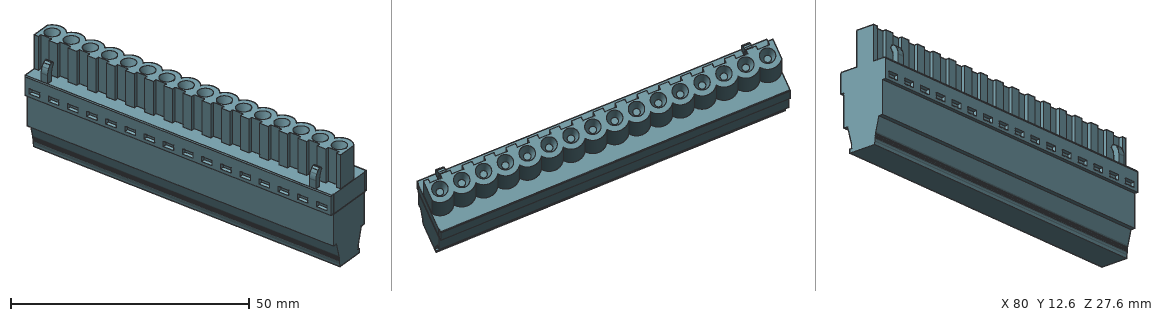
import cadquery as cq

total_length = 80.0
total_height = 27.6
pole_count = 16
end_lip = 0.13
body_length = total_length - end_lip
pitch = body_length / pole_count
x_start = -total_length / 2

body_half_width = 5.4
shoulder_z = 6.2
taper_half_width = 4.4
neck_half_width = 3.3
foot_z = 1.0
foot_y = 3.8
neck_z = 1.9

tooth_count = 3
tooth_pitch = 0.5
tooth_depth = 0.1
teeth_top_z = 2.7
teeth_top_y = -3.5
teeth_bottom_y = -3.4
relief_z = 0.8
underside_front_y = -3.2

plate_top_z = 19.2
skirt_bottom_z = 14.2
skirt_half_width = 6.28
edge_chamfer_y = 0.2
edge_chamfer_z = 0.3

tower_radius = 3.0
tower_front_y = -3.0
groove_width = 2.7
groove_depth = 0.9
funnel_top_diameter = 3.4
funnel_floor_diameter = 1.6
funnel_depth = 2.0

window_width = 2.7
window_height = 1.3
window_z = 15.7
window_depth = 0.6
window_taper = 20.0

hook_width = 1.7
hook_outer_y = -6.12
hook_inner_y = -4.7
hook_bend_z = 21.3
hook_nose = (-4.0, 23.3)
hook_top_z = 23.8
hook_top_inner_y = -4.3
hook_top_outer_y = -4.7
hook_upper_facet = (-5.3, 23.4)
hook_lower_facet = (-5.8, 22.7)
hook_inner_mid = (-4.5, 22.3)


def pole_x(index):
    return x_start + (index + 0.5) * pitch


def tooth_points():
    """Crest and root of each grip tooth, from the top down."""
    points = []
    for tooth in range(tooth_count + 1):
        share = tooth / tooth_count
        crest_y = teeth_top_y + share * (teeth_bottom_y - teeth_top_y)
        crest_z = teeth_top_z - tooth * tooth_pitch
        points.append((crest_y, crest_z))
        if tooth < tooth_count:
            points.append((crest_y + tooth_depth, crest_z - tooth_pitch / 2))
    return points


def make_body():
    outline = [
        (foot_y, 0),
        (foot_y, foot_z),
        (neck_half_width, foot_z),
        (neck_half_width, neck_z),
        (taper_half_width, shoulder_z),
        (body_half_width, shoulder_z),
        (body_half_width, skirt_bottom_z),
        (-body_half_width, skirt_bottom_z),
        (-body_half_width, shoulder_z),
        (-taper_half_width, shoulder_z),
    ]
    outline += tooth_points()
    outline += [(-neck_half_width, relief_z), (underside_front_y, 0)]
    return cq.Workplane("YZ", origin=(x_start, 0, 0)).polyline(outline).close().extrude(body_length)


def make_plate():
    chamfer_z = plate_top_z - edge_chamfer_z
    top_half_width = skirt_half_width - edge_chamfer_y
    section = cq.Workplane("YZ", origin=(x_start, 0, 0)).polyline([
        (-skirt_half_width, skirt_bottom_z),
        (skirt_half_width, skirt_bottom_z),
        (skirt_half_width, chamfer_z),
        (top_half_width, plate_top_z),
        (-top_half_width, plate_top_z),
        (-skirt_half_width, chamfer_z),
    ]).close()
    return section.extrude(body_length)


def make_end_lip():
    return (
        cq.Workplane("XY")
        .box(end_lip, 2 * body_half_width, plate_top_z - skirt_bottom_z, centered=(False, True, False))
        .translate((x_start + body_length, 0, skirt_bottom_z))
    )


def make_tower(x):
    half_pitch = pitch / 2
    valley_y = (tower_radius**2 - half_pitch**2) ** 0.5
    half_groove = groove_width / 2
    groove_y = tower_front_y + groove_depth
    return (
        cq.Workplane("XY", origin=(x, 0, plate_top_z))
        .moveTo(-half_pitch, valley_y)
        .threePointArc((0, tower_radius), (half_pitch, valley_y))
        .lineTo(half_pitch, tower_front_y)
        .lineTo(half_groove, tower_front_y)
        .lineTo(half_groove, groove_y)
        .lineTo(-half_groove, groove_y)
        .lineTo(-half_groove, tower_front_y)
        .lineTo(-half_pitch, tower_front_y)
        .close()
        .extrude(total_height - plate_top_z)
    )


def make_funnel(x):
    cone = cq.Solid.makeCone(
        funnel_top_diameter / 2,
        funnel_floor_diameter / 2,
        funnel_depth,
        pnt=cq.Vector(x, 0, total_height),
        dir=cq.Vector(0, 0, -1),
    )
    return cq.Workplane(obj=cone)


def make_window(x):
    return (
        cq.Workplane("XZ", origin=(x, -skirt_half_width, window_z))
        .rect(window_width, window_height)
        .extrude(-window_depth, taper=window_taper)
    )


def make_hook(x):
    return (
        cq.Workplane("YZ", origin=(x - hook_width / 2, 0, 0))
        .moveTo(hook_outer_y, skirt_bottom_z)
        .lineTo(hook_outer_y, hook_bend_z)
        .tangentArcPoint(hook_lower_facet, relative=False)
        .lineTo(*hook_upper_facet)
        .lineTo(hook_top_outer_y, hook_top_z)
        .lineTo(hook_top_inner_y, hook_top_z)
        .lineTo(*hook_nose)
        .threePointArc(hook_inner_mid, (hook_inner_y, hook_bend_z))
        .lineTo(hook_inner_y, skirt_bottom_z)
        .close()
        .extrude(hook_width)
    )


result = make_body().union(make_plate()).union(make_end_lip())

for index in range(pole_count):
    result = result.union(make_tower(pole_x(index)))

for index in range(pole_count):
    result = result.cut(make_funnel(pole_x(index)))
    result = result.cut(make_window(pole_x(index)))

for joint in (1, pole_count - 1):
    result = result.union(make_hook(x_start + joint * pitch))